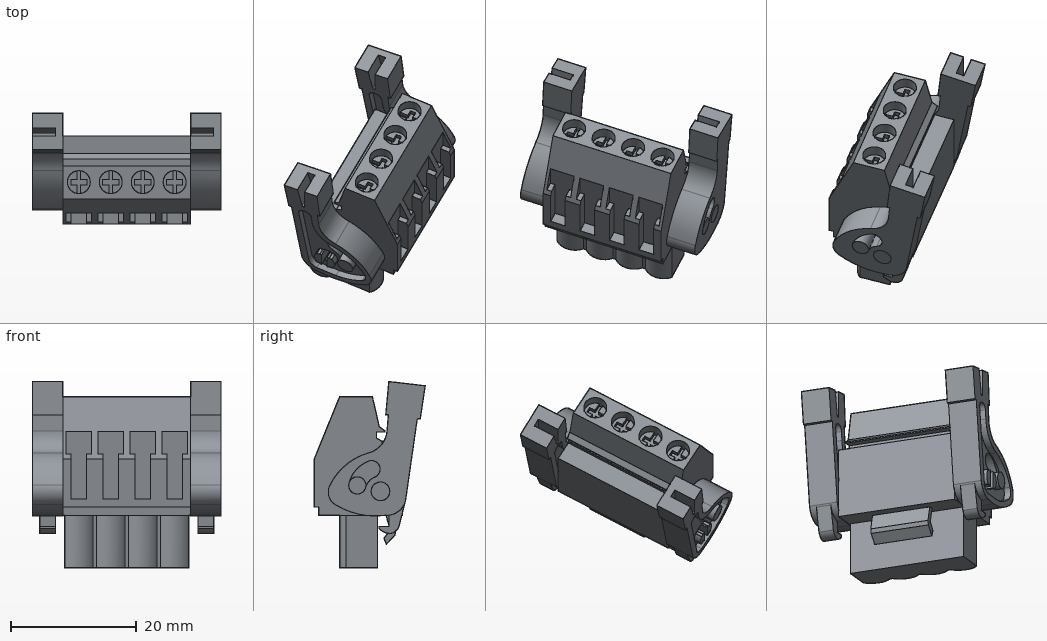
import cadquery as cq
import math


pole_count = 4
pitch = 5.08
housing_length = pole_count * pitch
lever_width = 4.85
pole_positions = [(i - (pole_count - 1) / 2) * pitch for i in range(pole_count)]
left_lever_x = -housing_length / 2 - lever_width
right_lever_x = housing_length / 2

housing_height = 18.87
top_front_y = 4.05
top_rear_y = 9.28
front_wall_height = 8.95
foot_step_depth = 0.7
foot_step_height = 1.29
tooth_root = (10.38, 14.07)
tooth_tip_y = 11.27
tooth_tip_height = 13.45
tooth_underside = 13.24
notch_y = 9.93
notch_bottom = 12.27
rear_wall_y = 10.84
rear_wall_top = 11.78
shelf_y = 14.06
shelf_height = 11.2

entry_back_y = 1.8
entry_top = 13.38
funnel_bottom = 9.73
funnel_width = 4.1
entry_slot_width = 2.5
entry_slot_bottom = 2.58

screw_y = 6.7
screw_diameter = 3.64
screw_length = 5.0
screw_recess = 1.9
cross_depth = 0.8
cross_slot_width = 0.6
cross_arm_length = 2.56
cross_arm_width = 0.85

plug_width = 19.8
plug_height = 8.36
plug_rear_y = 10.1
plug_web_y = 5.04
lobe_front_y = 4.06
lobe_width = 2 * (plug_width / 2 - pole_positions[-1])

latch_width = 10.0

lever_pocket_depth = 1.1
finger_slot_length = 3.66
hook_width = 2.52
pivot_y = 10.55
pivot_z = 3.81

pivot_radius = 1.48
pivot_lip_radius = 1.8
pivot_lip_half_height = 1.22
pivot_split_width = 0.98
pivot_split_depth = 3.0
guide_path_radius = 3.8
guide_pin_radius = 1.37
guide_pin_angle = 14.4
guide_slot_end_angle = 68.0


def extrude_along_x(outline, x_start, length):
    """Extrude a closed (Y, Z) outline drawn on a YZ workplane."""
    return outline.extrude(length).translate((x_start, 0, 0))


def side_sketch():
    return cq.Workplane("YZ")


def point_around_pivot(radius, angle):
    """Point at an angle above the forward (-Y) direction, seen from the pivot."""
    turn = math.radians(angle)
    return (pivot_y - radius * math.cos(turn), pivot_z + radius * math.sin(turn))


def disc_along_x(center, radius, x_start, length):
    return extrude_along_x(side_sketch().center(*center).circle(radius), x_start, length)


def lever_pins(x_start, snap_end):
    """Pivot and guide pins filling the lever width; a snap end is split and has a lip."""
    pivot_center = (pivot_y, pivot_z)
    guide_center = point_around_pivot(guide_path_radius, guide_pin_angle)
    guide_pin = disc_along_x(guide_center, guide_pin_radius, x_start, lever_width)
    pivot = disc_along_x(pivot_center, pivot_radius, x_start, lever_width)
    if snap_end:
        lip_flats = side_sketch().center(*pivot_center).rect(2 * pivot_lip_radius, 2 * pivot_lip_half_height)
        lip = disc_along_x(pivot_center, pivot_lip_radius, x_start, lever_pocket_depth)
        lip = lip.intersect(extrude_along_x(lip_flats, x_start, lever_pocket_depth))
        split = side_sketch().center(*pivot_center).rect(pivot_split_width, 2 * pivot_lip_radius)
        pivot = pivot.union(lip).cut(extrude_along_x(split, x_start, pivot_split_depth))
    return pivot.union(guide_pin)


def housing_block():
    outline = (
        side_sketch()
        .moveTo(foot_step_depth, 0)
        .lineTo(foot_step_depth, foot_step_height)
        .lineTo(0, foot_step_height)
        .lineTo(0, front_wall_height)
        .lineTo(top_front_y, housing_height)
        .lineTo(top_rear_y, housing_height)
        .lineTo(*tooth_root)
        .lineTo(tooth_tip_y, tooth_tip_height)
        .lineTo(tooth_tip_y, tooth_underside)
        .lineTo(notch_y, tooth_underside)
        .lineTo(notch_y, notch_bottom)
        .lineTo(rear_wall_y, rear_wall_top)
        .lineTo(rear_wall_y, shelf_height)
        .lineTo(shelf_y, shelf_height)
        .lineTo(shelf_y, 0)
        .close()
    )
    return extrude_along_x(outline, -housing_length / 2, housing_length)


def wire_entry(x):
    """Wide funnel above a narrow slot, sharing one flat back wall."""
    funnel = cq.Workplane("XY").box(
        funnel_width, entry_back_y, entry_top - funnel_bottom, centered=(True, False, False)
    ).translate((x, 0, funnel_bottom))
    slot = cq.Workplane("XY").box(
        entry_slot_width, entry_back_y, entry_top - entry_slot_bottom, centered=(True, False, False)
    ).translate((x, 0, entry_slot_bottom))
    return funnel.union(slot)


def screw_hole(x):
    depth = screw_recess + screw_length
    hole = cq.Workplane("XY").circle(screw_diameter / 2).extrude(depth)
    return hole.translate((x, screw_y, housing_height - depth))


def plug():
    """Block below the housing with arched lobes along its front."""
    half_width = plug_width / 2
    outline = cq.Workplane("XY").moveTo(-half_width, plug_rear_y)
    for x in pole_positions:
        outline = outline.lineTo(x - lobe_width / 2, plug_web_y)
        outline = outline.threePointArc((x, lobe_front_y), (x + lobe_width / 2, plug_web_y))
    return outline.lineTo(half_width, plug_rear_y).close().extrude(-plug_height)


def rear_latch():
    """Slanted strip hanging from the shelf with a forward-facing barb."""
    outline = side_sketch().polyline(
        [
            (11.43, 0),
            (12.11, -2.48),
            (11.62, -2.97),
            (11.09, -3.65),
            (11.48, -4.63),
            (12.83, -3.2),
            (12.99, -2.48),
            (12.31, 0),
        ]
    ).close()
    return extrude_along_x(outline, -latch_width / 2, latch_width)


def make_housing():
    body = housing_block().union(plug()).union(rear_latch())
    for x in pole_positions:
        body = body.cut(wire_entry(x)).cut(screw_hole(x))
    body = body.union(lever_pins(left_lever_x, snap_end=True))
    return body.union(lever_pins(right_lever_x, snap_end=False))


def make_screw(x):
    """Screw with a full-width slot crossed by a shorter, wider arm."""
    screw = cq.Workplane("XY").circle(screw_diameter / 2).extrude(-screw_length)
    slot = cq.Workplane("XY").rect(cross_slot_width, screw_diameter).extrude(-cross_depth)
    arm = cq.Workplane("XY").rect(cross_arm_length, cross_arm_width).extrude(-cross_depth)
    return screw.cut(slot).cut(arm).translate((x, screw_y, housing_height - screw_recess))


def lever_plate():
    """Finger grip above a curved arm that widens into a rounded cam."""
    outline = (
        side_sketch()
        .moveTo(17.69, 20.61)
        .lineTo(11.86, 21.29)
        .lineTo(11.37, 15.95)
        .lineTo(11.78, 15.95)
        .lineTo(11.58, 13.38)
        .threePointArc((10.75, 11.3), (8.57, 9.89))
        .threePointArc((5.27, 8.2), (2.54, 4.82))
        .threePointArc((2.28, 3.3), (3.35, 1.7))
        .threePointArc((6.3, 0.38), (9.77, -0.12))
        .lineTo(11.88, 0)
        .threePointArc((13.67, 0.84), (14.55, 2.3))
        .lineTo(16.41, 15.29)
        .lineTo(16.89, 15.35)
        .close()
    )
    return extrude_along_x(outline, 0, lever_width)


def lever_pocket():
    """Shallow recess that leaves a rim around the arm and cam."""
    outline = (
        side_sketch()
        .moveTo(15.14, 14.71)
        .lineTo(13.34, 2.4)
        .threePointArc((12.83, 1.37), (11.88, 0.94))
        .lineTo(8.5, 0.94)
        .threePointArc((6.15, 1.43), (3.81, 2.6))
        .threePointArc((3.26, 3.67), (3.5, 4.65))
        .threePointArc((5.76, 7.35), (8.69, 8.81))
        .threePointArc((11.62, 10.55), (12.75, 13.24))
        .lineTo(12.89, 14.71)
        .threePointArc((14.02, 15.6), (15.14, 14.71))
        .close()
    )
    return extrude_along_x(outline, 0, lever_pocket_depth)


def finger_slot():
    """Wedge-shaped slot in the grip, open at the top and at the -X face."""
    outline = (
        side_sketch()
        .moveTo(15.56, 22.0)
        .lineTo(14.5, 16.9)
        .threePointArc((14.28, 16.72), (14.06, 16.9))
        .lineTo(14.06, 22.0)
        .close()
    )
    return extrude_along_x(outline, 0, finger_slot_length)


def guide_slot():
    """Arc-shaped slot around the pivot for the guide pin, with round ends."""
    inner = guide_path_radius - guide_pin_radius
    outer = guide_path_radius + guide_pin_radius
    middle_angle = (guide_pin_angle + guide_slot_end_angle) / 2
    band = (
        side_sketch()
        .moveTo(*point_around_pivot(inner, guide_pin_angle))
        .threePointArc(
            point_around_pivot(inner, middle_angle),
            point_around_pivot(inner, guide_slot_end_angle),
        )
        .lineTo(*point_around_pivot(outer, guide_slot_end_angle))
        .threePointArc(
            point_around_pivot(outer, middle_angle),
            point_around_pivot(outer, guide_pin_angle),
        )
        .close()
    )
    slot = extrude_along_x(band, 0, lever_width)
    for angle in (guide_pin_angle, guide_slot_end_angle):
        end_center = point_around_pivot(guide_path_radius, angle)
        slot = slot.union(disc_along_x(end_center, guide_pin_radius, 0, lever_width))
    return slot


def lever_hook():
    """Narrow claw under the cam, reaching forward to grip a mating header."""
    outline = (
        side_sketch()
        .moveTo(14.45, 2.0)
        .lineTo(13.48, -1.9)
        .threePointArc((12.8, -2.65), (11.9, -2.93))
        .threePointArc((11.0, -2.63), (10.29, -2.09))
        .lineTo(10.29, -1.76)
        .lineTo(11.88, -1.76)
        .lineTo(11.88, 0.5)
        .close()
    )
    return extrude_along_x(outline, (lever_width - hook_width) / 2, hook_width)


def make_lever(x):
    lever = lever_plate().union(lever_hook())
    lever = lever.cut(lever_pocket()).cut(finger_slot()).cut(guide_slot())
    lever = lever.cut(disc_along_x((pivot_y, pivot_z), pivot_radius, 0, lever_width))
    return lever.translate((x, 0, 0))


housing = make_housing()
levers = [make_lever(x) for x in (left_lever_x, right_lever_x)]
screws = [make_screw(x) for x in pole_positions]

result = cq.Compound.makeCompound(
    [
        housing.val(),
        *[lever.val() for lever in levers],
        *[screw.val() for screw in screws],
    ]
)